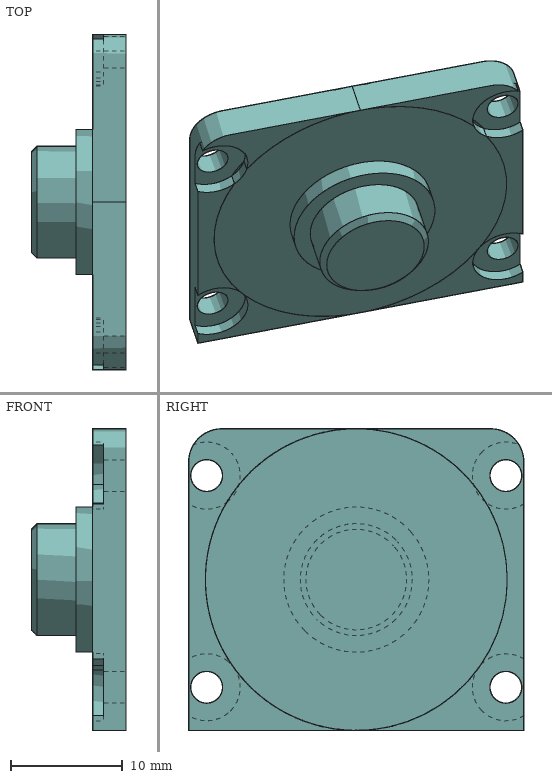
import cadquery as cq

plate_width = 30.0
plate_height = 27.0
plate_thickness = 3.0
corner_radius = 3.0

disc_diameter = plate_height

hole_diameter = 2.82
counterbore_diameter = 6.0
counterbore_depth = 1.0
hole_side_offset = 1.62
upper_hole_z = 9.3
lower_hole_z = -9.63

collar_diameter = 13.0
collar_length = 1.5
shaft_diameter = 10.02
shaft_length = 4.0
shaft_chamfer = 0.5

front_x = 0.0
back_x = front_x + plate_thickness
collar_front_x = front_x - collar_length
shaft_front_x = collar_front_x - shaft_length
hole_y = plate_width / 2 - hole_side_offset


def rod(diameter, start_x, end_x, y=0.0, z=0.0):
    """Cylinder along X between two X positions."""
    plane = cq.Workplane("YZ", origin=(start_x, y, z))
    return plane.circle(diameter / 2).extrude(end_x - start_x)


def screw_hole_cutter():
    """Volume removed by all four counterbored through holes."""
    cutter = cq.Workplane("YZ")
    for y in (-hole_y, hole_y):
        for z in (lower_hole_z, upper_hole_z):
            cutter = cutter.add(rod(hole_diameter, front_x, back_x, y, z))
            cutter = cutter.add(rod(counterbore_diameter, front_x, front_x + counterbore_depth, y, z))
    return cutter.combine()


def make_disc():
    """Full-thickness disc, notched by the counterbores."""
    return rod(disc_diameter, front_x, back_x).cut(screw_hole_cutter())


def make_side_plate(side):
    """Half of the plate outside the disc; side is -1 or +1 along Y."""
    half_width = plate_width / 2
    half_height = plate_height / 2
    outer_y = side * half_width
    corner_start_z = half_height - corner_radius
    corner_end_y = side * (half_width - corner_radius)
    bend_offset = corner_radius / 2**0.5
    bend_point = (corner_end_y + side * bend_offset, corner_start_z + bend_offset)
    outline = (
        cq.Workplane("YZ", origin=(front_x, 0, 0))
        .moveTo(0, -half_height)
        .lineTo(outer_y, -half_height)
        .lineTo(outer_y, corner_start_z)
        .threePointArc(bend_point, (corner_end_y, half_height))
        .lineTo(0, half_height)
        .threePointArc((side * disc_diameter / 2, 0), (0, -half_height))
        .close()
    )
    return outline.extrude(plate_thickness).cut(screw_hole_cutter())


def make_boss():
    """Collar with a narrower shaft, chamfered at its free end."""
    collar = rod(collar_diameter, collar_front_x, front_x)
    shaft = rod(shaft_diameter, shaft_front_x, collar_front_x)
    shaft = shaft.faces("<X").chamfer(shaft_chamfer)
    return collar.union(shaft)


disc = make_disc().solids()
side_plates = [make_side_plate(side).solids() for side in (-1, 1)]
boss = make_boss().solids()

result = cq.Compound.makeCompound(
    [disc.val(), *[side_plate.val() for side_plate in side_plates], boss.val()]
)